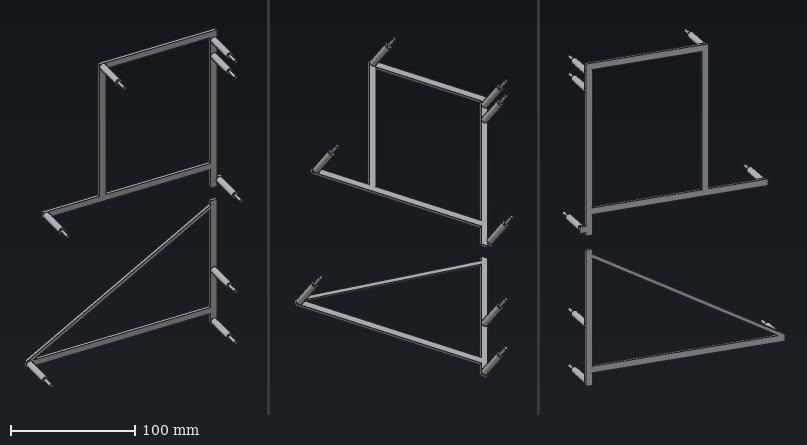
import cadquery as cq
import math

bar = 6.0
plate = 3.0
overall_x = 40.0
boss_dia = bar
tip_length = 10.0
upper_tip_dia = 2.8
lower_tip_dia = 3.0
half_bar = bar / 2

total_height = 281.0
post_back = 175.0
post_front = post_back - bar
post_mid = post_back - half_bar

upper_height = 150.0
upper_width = 108.0
rail_length = 160.0
rail_top_drop = 126.2
lug_reach = 5.0
lug_drop = 144.2
second_pin_drop = 9.0
third_pin_drop = 24.2

upper_foot = total_height - upper_height
rail_z = total_height - rail_top_drop - bar
loop_front = post_back - upper_width
rail_end = post_back - rail_length
top_bar_mid = total_height - half_bar
lug_z = total_height - lug_drop
lug_back = post_back + lug_reach

lower_height = 119.0
base_z = 11.0
brace_angle = 30.0
brace_width = 3.5
middle_pin_z = 52.0
base_top = base_z + bar


def box(y_min, y_max, z_min, z_max):
    """Flat bar of plate thickness standing in the YZ plane."""
    return cq.Workplane("XY").box(
        plate, y_max - y_min, z_max - z_min, centered=False
    ).translate((0, y_min, z_min))


def pin(y, z, tip_dia):
    """Round boss on the +X face of a frame, ending in a thinner tip."""
    boss_length = overall_x - plate - tip_length
    boss = cq.Workplane("YZ", origin=(plate, y, z)).circle(boss_dia / 2).extrude(boss_length)
    return boss.faces(">X").workplane().circle(tip_dia / 2).extrude(tip_length)


def brace():
    """Sloping brace from the free end of the base bar up to the post."""
    slope = math.tan(math.radians(brace_angle))
    rise = post_mid * slope
    vertical_width = brace_width / math.cos(math.radians(brace_angle))
    outline = [
        (0, base_top),
        (post_mid, base_top + rise),
        (post_mid, base_top + rise - vertical_width),
        (0, base_top - vertical_width),
    ]
    return cq.Workplane("YZ").polyline(outline).close().extrude(plate)


def add_pins(frame, tip_dia, pins):
    """Join pins at the given (y, z) places to a frame."""
    for y, z in pins:
        frame = frame.union(pin(y, z, tip_dia))
    return frame


def make_upper_frame():
    post = box(post_front, post_back, upper_foot, total_height)
    top_bar = box(loop_front, post_back, total_height - bar, total_height)
    front_bar = box(loop_front, loop_front + bar, rail_z, total_height)
    rail = box(rail_end, post_back, rail_z, rail_z + bar)
    lug = box(post_front, lug_back, lug_z - half_bar, lug_z + half_bar)
    frame = post.union(top_bar).union(front_bar).union(rail).union(lug)
    return add_pins(frame, upper_tip_dia, [
        (loop_front + half_bar, top_bar_mid),
        (post_mid, total_height - second_pin_drop),
        (post_mid, total_height - third_pin_drop),
        (lug_back - half_bar, lug_z),
        (rail_end + half_bar, rail_z + half_bar),
    ])


def make_lower_frame():
    post = box(post_front, post_back, 0, lower_height)
    base_bar = box(0, post_back, base_z, base_top)
    frame = post.union(base_bar).union(brace())
    return add_pins(frame, lower_tip_dia, [
        (half_bar, base_z + half_bar),
        (post_mid, middle_pin_z),
        (post_mid, half_bar),
    ])


upper_frame = make_upper_frame()
lower_frame = make_lower_frame()
result = cq.Compound.makeCompound([upper_frame.val(), lower_frame.val()])